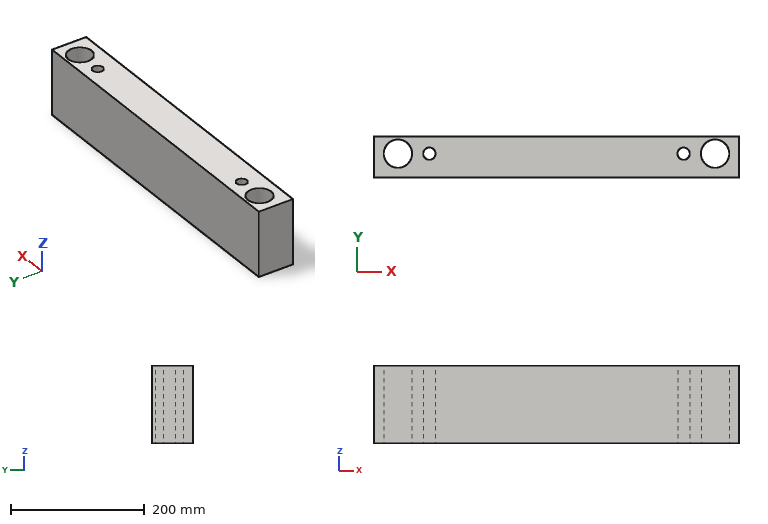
import cadquery as cq

LENGTH = 546.0
WIDTH = 62.0
HEIGHT = 116.0

LARGE_DIAMETER = 42.0
LARGE_SPACING = 474.0
SMALL_DIAMETER = 18.0
SMALL_SPACING = 380.0
HOLE_LINE_OFFSET = 5.0


def drill_pair(body, diameter, spacing):
    """Drill two holes through the height, symmetric about X = 0."""
    centres = [(side * spacing / 2, HOLE_LINE_OFFSET) for side in (-1, 1)]
    return body.faces(">Z").workplane(origin=(0, 0, HEIGHT)).pushPoints(centres).hole(diameter)


block = cq.Workplane("XY").box(LENGTH, WIDTH, HEIGHT, centered=(True, True, False))
block = drill_pair(block, LARGE_DIAMETER, LARGE_SPACING)
result = drill_pair(block, SMALL_DIAMETER, SMALL_SPACING)